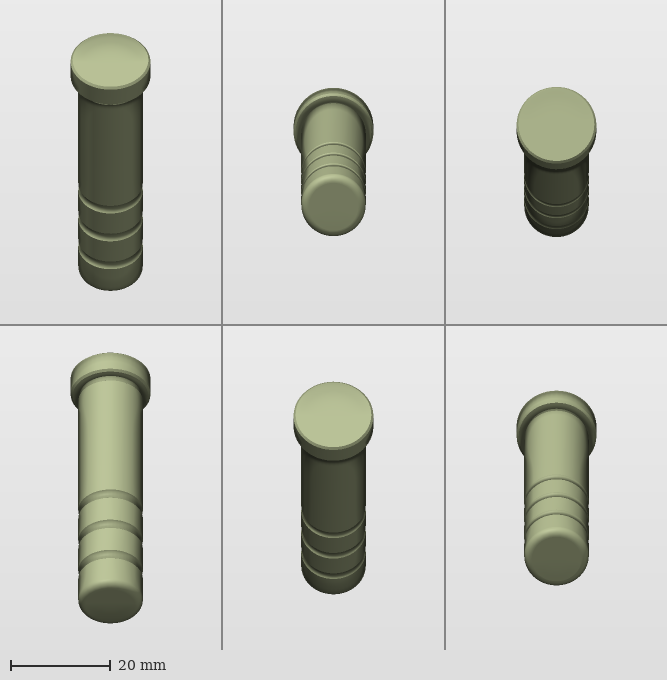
import cadquery as cq

total_length = 60.0
head_radius = 8.01
head_height = 5.0
head_chamfer = 0.4

shaft_radius = 6.5
neck_radius = 6.25
neck_height = 1.4
bottom_fillet = 1.5

groove_count = 3
first_groove_z = 8.1
groove_pitch = 7.9
groove_width = 2.15
groove_depth = 0.55

head_bottom_z = total_length - head_height
shaft_top_z = head_bottom_z - neck_height


def make_head():
    head = cq.Workplane("XY").workplane(offset=head_bottom_z).circle(head_radius).extrude(head_height)
    return head.faces("<Z or >Z").edges().chamfer(head_chamfer)


def make_neck():
    return cq.Workplane("XY").workplane(offset=shaft_top_z).circle(neck_radius).extrude(neck_height)


def make_shaft():
    shaft = cq.Workplane("XY").circle(shaft_radius).extrude(shaft_top_z)
    return shaft.faces("<Z").edges().fillet(bottom_fillet)


def make_groove_cutter(center_z):
    """Ring whose inner side is an arc bulging toward the shaft axis."""
    low_z = center_z - groove_width / 2
    high_z = center_z + groove_width / 2
    return (
        cq.Workplane("XZ")
        .moveTo(shaft_radius, low_z)
        .threePointArc((shaft_radius - groove_depth, center_z), (shaft_radius, high_z))
        .lineTo(head_radius, high_z)
        .lineTo(head_radius, low_z)
        .close()
        .revolve(360, (0, 0, 0), (0, 1, 0))
    )


shaft = make_shaft()
for index in range(groove_count):
    shaft = shaft.cut(make_groove_cutter(first_groove_z + index * groove_pitch))

result = shaft.union(make_neck()).union(make_head())